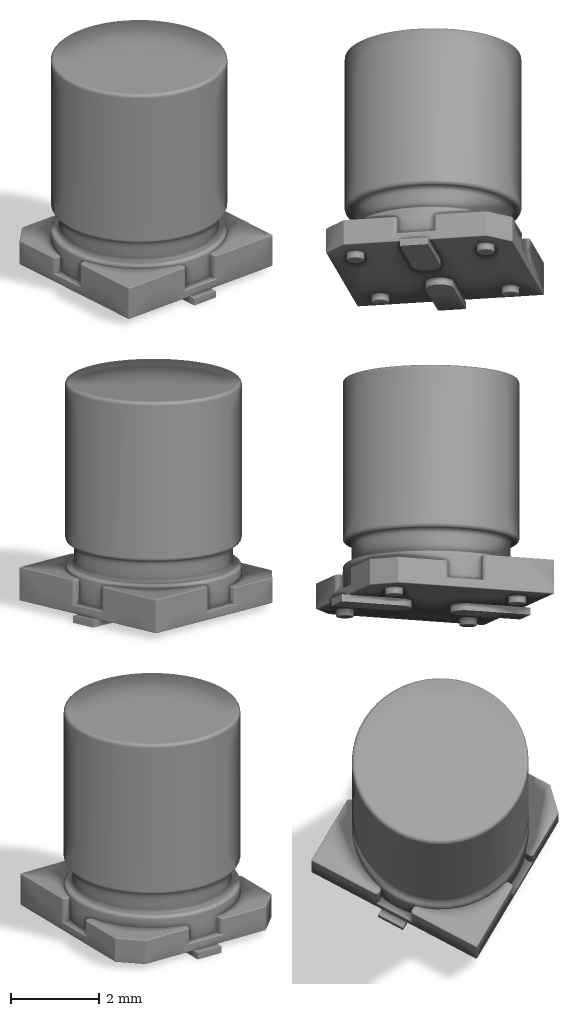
import cadquery as cq

height = 5.3
base_size = 4.3
pad_span = 4.6

can_radius = 4.0 / 2
neck_radius = 3.6 / 2
can_edge_radius = 0.08
ring_top = 1.035
can_bottom = 1.57

base_bottom = 0.165
floor_top = 0.37
low_block_top = 0.76
high_block_top = 0.95
corner_cut = 0.5
notch_width = 0.85
block_tip_radius = 0.08
base_edge_radius = 0.02

pad_width = 0.645
pad_inner_end = 0.5
peg_diameter = 0.4
peg_spacing = 3.0


def disc(radius, bottom, top):
    """Upright cylinder on the part's axis."""
    return cq.Workplane("XY").workplane(offset=bottom).circle(radius).extrude(top - bottom)


def slab(x_size, y_size, bottom, top, x_center=0):
    """Upright box centred on the XZ plane."""
    return (
        cq.Workplane("XY")
        .workplane(offset=bottom)
        .center(x_center, 0)
        .rect(x_size, y_size)
        .extrude(top - bottom)
    )


def make_pegs():
    """Four round standoff pegs under the corners."""
    return (
        cq.Workplane("XY")
        .rect(peg_spacing, peg_spacing, forConstruction=True)
        .vertices()
        .circle(peg_diameter / 2)
        .extrude(base_bottom)
    )


def at_block_tip(edge):
    """True for the upright edges that flank a notch."""
    center = edge.Center()
    return min(abs(center.x), abs(center.y)) < notch_width


def takes_edge_rounding(edge):
    """True for every base edge except the inside corners around the floor."""
    center = edge.Center()
    off_the_floor = abs(center.z - floor_top) > base_edge_radius
    on_outer_side = max(abs(center.x), abs(center.y)) > base_size / 2 - base_edge_radius
    return off_the_floor or (edge.geomType() == "LINE" and on_outer_side)


def make_base():
    """Pegged base with two low blocks on -X and two high ones on +X."""
    half = base_size / 2
    body = slab(half, base_size, base_bottom, low_block_top, -half / 2)
    body = body.edges("|Z and <X").chamfer(corner_cut)
    body = body.union(slab(half, base_size, base_bottom, high_block_top, half / 2))

    body = body.cut(disc(can_radius, floor_top, high_block_top))
    body = body.cut(slab(notch_width, base_size, floor_top, high_block_top))
    body = body.cut(slab(base_size, notch_width, floor_top, high_block_top))

    body = body.clean()
    body = body.edges("|Z").filter(at_block_tip).fillet(block_tip_radius)
    body = body.union(make_pegs())
    return body.edges().filter(takes_edge_rounding).fillet(base_edge_radius)


def make_can():
    """Can with a necked groove just above the base, all its rims rounded."""
    body = disc(can_radius, floor_top, ring_top)
    body = body.union(disc(neck_radius, ring_top, can_bottom))
    body = body.union(disc(can_radius, can_bottom, height))
    return body.edges("%CIRCLE and (not <Z)").fillet(can_edge_radius)


def make_pad(side):
    """Flat terminal reaching past the base, with a round inner end."""
    outer_end = pad_span / 2
    round_center = pad_inner_end + pad_width / 2
    length = outer_end - round_center
    bar = slab(length, pad_width, 0, base_bottom, side * (outer_end + round_center) / 2)
    end = disc(pad_width / 2, 0, base_bottom).translate((side * round_center, 0, 0))
    return bar.union(end)


result = make_base().union(make_can())
for pad_side in (-1, 1):
    result = result.union(make_pad(pad_side))